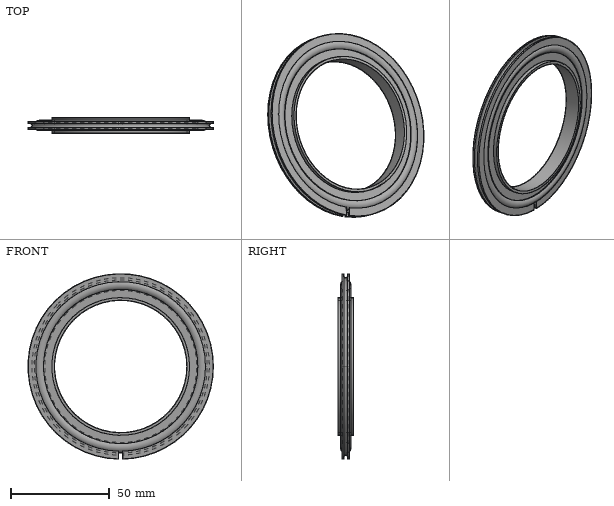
import cadquery as cq
import math


bore_diameter = 67.0
hub_diameter = 69.8
flange_diameter = 78.2
hub_half_width = 4.0

half_thickness = 2.0

seal_inner_diameter = 77.1
seal_section_diameter = 5.33

outer_diameter = 94.0
groove_half_width = 1.0
groove_floor_radius = 45.0
split_width = 2.0

seal_section_radius = seal_section_diameter / 2
seal_inner_radius = seal_inner_diameter / 2
seal_center_radius = seal_inner_radius + seal_section_radius
seal_outer_radius = seal_center_radius + seal_section_radius


def seal_half_chord(offset):
    """Half length of the chord across the seal section at an offset from its centre."""
    return math.sqrt(seal_section_radius**2 - offset**2)


def revolve_about_y(profile):
    """Turn a section (X = radius, Y = axial place) into a full ring."""
    return profile.revolve(360, (0, 0, 0), (0, 1, 0))


def make_inner_ring():
    """Hub with a flange whose rim has a shallow round seat for the inside of the seal."""
    bore_radius = bore_diameter / 2
    hub_radius = hub_diameter / 2
    flange_radius = flange_diameter / 2
    seat_half_width = seal_half_chord(seal_center_radius - flange_radius)
    profile = (
        cq.Workplane("XY")
        .moveTo(bore_radius, -hub_half_width)
        .lineTo(hub_radius, -hub_half_width)
        .lineTo(hub_radius, -half_thickness)
        .lineTo(flange_radius, -half_thickness)
        .lineTo(flange_radius, -seat_half_width)
        .threePointArc((seal_inner_radius, 0), (flange_radius, seat_half_width))
        .lineTo(flange_radius, half_thickness)
        .lineTo(hub_radius, half_thickness)
        .lineTo(hub_radius, hub_half_width)
        .lineTo(bore_radius, hub_half_width)
        .close()
    )
    return revolve_about_y(profile)


def make_seal():
    """O-ring of round section."""
    return revolve_about_y(cq.Workplane("XY").moveTo(seal_center_radius, 0).circle(seal_section_radius))


def make_outer_ring():
    """Split ring with a round seal seat inside and a round-bottomed groove outside."""
    outer_radius = outer_diameter / 2
    seat_edge_radius = seal_center_radius + seal_half_chord(half_thickness)
    groove_wall_radius = groove_floor_radius + groove_half_width
    profile = (
        cq.Workplane("XY")
        .moveTo(seat_edge_radius, -half_thickness)
        .lineTo(outer_radius, -half_thickness)
        .lineTo(outer_radius, -groove_half_width)
        .lineTo(groove_wall_radius, -groove_half_width)
        .threePointArc((groove_floor_radius, 0), (groove_wall_radius, groove_half_width))
        .lineTo(outer_radius, groove_half_width)
        .lineTo(outer_radius, half_thickness)
        .lineTo(seat_edge_radius, half_thickness)
        .threePointArc((seal_outer_radius, 0), (seat_edge_radius, -half_thickness))
        .close()
    )
    split_cutter = (
        cq.Workplane("XY")
        .box(split_width, 2 * half_thickness, outer_diameter, centered=(True, True, False))
        .translate((0, 0, -outer_diameter))
    )
    return revolve_about_y(profile).cut(split_cutter).solids()


inner_ring = make_inner_ring()
seal = make_seal()
outer_ring = make_outer_ring()

result = cq.Compound.makeCompound([inner_ring.val(), seal.val(), outer_ring.val()])